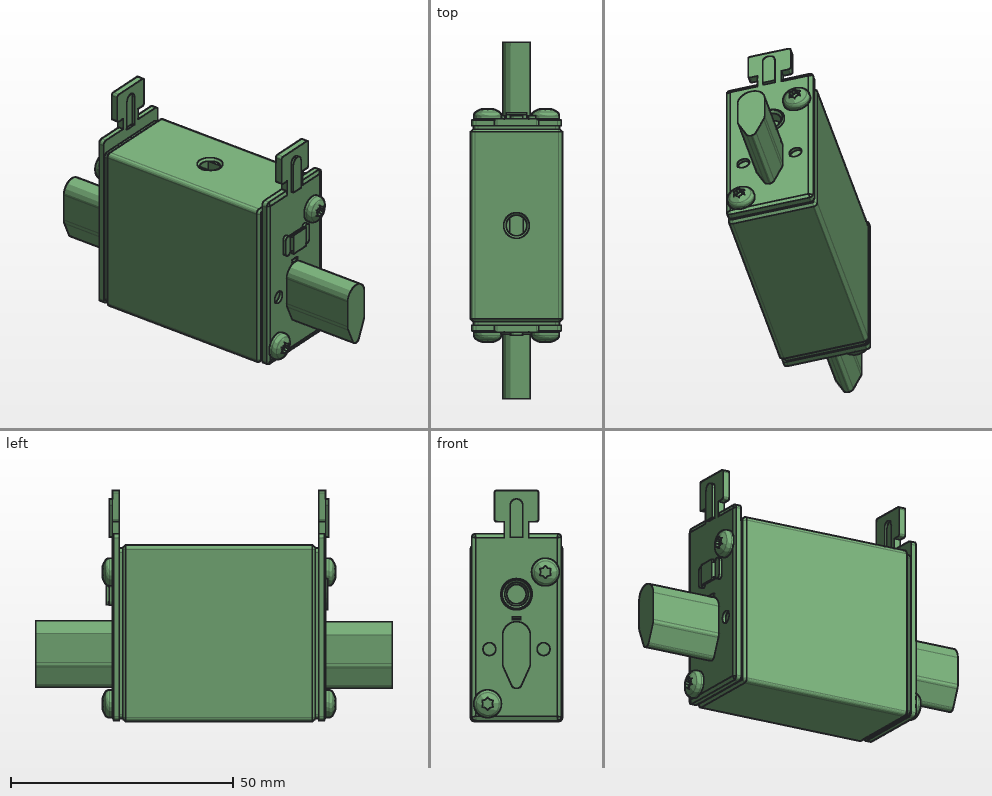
import cadquery as cq
import math


HOUSING_WIDTH = 20.7
HOUSING_HEIGHT = 39.75
HOUSING_LENGTH = 43.4
HOUSING_EDGE_RADIUS = 1.0
HOUSING_END_BEVEL = 0.65
COLLAR_INSET = 0.65
COLLAR_LENGTH = 0.7

SIGHT_RIM_RADIUS = 2.9
SIGHT_BORE_RADIUS = 2.3
SIGHT_FLAT_WIDTH = 3.1
SIGHT_DEPTH = 3.2

PLATE_WIDTH = 20.2
PLATE_BOTTOM = 0.25
PLATE_TOP = 42.3
PLATE_THICKNESS = 1.6
PLATE_CORNER_RADIUS = 1.0
PLATE_BEVEL_WIDTH = 1.0
PLATE_BEVEL_DEPTH = 0.3

TAB_WIDTH = 9.95
TAB_BOTTOM = 45.0
TAB_TOP = 52.0
TAB_CORNER = 0.6
NECK_WIDTH = 5.6
RIB_WIDTH = 2.8
RIB_BOTTOM = 41.5
RIB_TOP = 50.1
RIB_HEIGHT = 0.65

BLADE_WIDTH = 6.3
BLADE_BOTTOM = 7.5
BLADE_HEIGHT = 15.0
BLADE_SHOULDER = 12.6
BLADE_ARC_START = 19.6
BLADE_FOOT_WIDTH = 1.6
BLADE_SHOULDER_RADIUS = 2.4
BLADE_FOOT_RADIUS = 1.2
EDGE_MARGIN = 0.4
OVERALL_LENGTH = 80.3
FRONT_TIP_DISTANCE = 39.0
REAR_BLADE_RISE = 0.25
KEY_NOTCH_WIDTH = 1.9
KEY_NOTCH_TOP = 23.6
KEY_NOTCH_FLOOR = 22.9
KEY_NOTCH_BACK_HEIGHT = 0.25
KEY_NOTCH_DEPTH = 0.8

SIDE_HOLE_DIAMETER = 2.9
SIDE_HOLE_OFFSET = 6.1
SIDE_HOLE_Z = 16.3
SIDE_HOLE_DEPTH = 0.8

SCREW_OFFSET = 6.5
SCREW_UPPER_Z = 33.65
SCREW_LOWER_Z = 4.0
HEAD_RADIUS = 3.1
HEAD_RIM_HEIGHT = 0.65
HEAD_HEIGHT = 2.4
HEAD_SHOULDER_RADIUS = 2.6
HEAD_SHOULDER_HEIGHT = 1.6
SOCKET_OUTER_RADIUS = 1.45
SOCKET_INNER_RADIUS = 1.05
SOCKET_LOBES = 6
SOCKET_DEPTH = 1.2

EYELET_Z = 28.7
EYELET_RADIUS = 3.5
EYELET_HEIGHT = 0.5
EYELET_ROUNDING = 0.25
EYELET_MOUTH_RADIUS = 3.2
EYELET_BORE_RADIUS = 2.65
EYELET_FLOOR_RADIUS = 2.2
EYELET_DEPTH = 2.4

INDICATOR_WIDTH = 4.65
INDICATOR_STEM_HEIGHT = 3.5
INDICATOR_CAP_HEIGHT = 4.8
INDICATOR_REACH = 1.4
INDICATOR_CAP_THICKNESS = 0.5
PAD_WIDTH = 1.7
PAD_HEIGHT = 5.0
PAD_THICKNESS = 0.7
PAD_OFFSET = 3.5

PLATE_INNER = HOUSING_LENGTH / 2 + COLLAR_LENGTH
PLATE_OUTER = PLATE_INNER + PLATE_THICKNESS


def front_plane(distance):
    """Plane facing the front, at a distance ahead of the middle; its y is the height Z."""
    return cq.Workplane("XZ", origin=(0, -distance, 0))


def half_turn(shape):
    """Carry a shape from the front end to the rear end."""
    return shape.rotate((0, 0, 0), (0, 0, 1), 180)


def rounded_beam(width, bottom, top, length):
    """Bar along Y, centred in length, with its four long edges rounded."""
    return (
        front_plane(-length / 2)
        .center(0, (bottom + top) / 2)
        .rect(width, top - bottom)
        .extrude(length)
        .edges("|Y")
        .fillet(HOUSING_EDGE_RADIUS)
    )


def make_housing():
    core = rounded_beam(HOUSING_WIDTH, 0, HOUSING_HEIGHT, HOUSING_LENGTH)
    core = core.faces("<Y or >Y").chamfer(HOUSING_END_BEVEL)
    collar = rounded_beam(
        HOUSING_WIDTH - 2 * COLLAR_INSET, COLLAR_INSET, HOUSING_HEIGHT - COLLAR_INSET, 2 * PLATE_INNER
    )
    return core.union(collar).cut(sight_hole())


def sight_hole():
    """Countersunk hole whose lower part has two flats facing each other across X."""
    rim_depth = SIGHT_RIM_RADIUS - SIGHT_BORE_RADIUS
    top = cq.Workplane("XY", origin=(0, 0, HOUSING_HEIGHT))
    rim = top.circle(SIGHT_RIM_RADIUS).workplane(offset=-rim_depth).circle(SIGHT_BORE_RADIUS).loft()
    bore = top.circle(SIGHT_BORE_RADIUS).extrude(-SIGHT_DEPTH)
    flats = top.rect(SIGHT_FLAT_WIDTH, 2 * SIGHT_BORE_RADIUS).extrude(-SIGHT_DEPTH)
    return rim.union(bore.intersect(flats))


def upright_slot(distance, width, bottom, top, depth):
    """Bar with a round upper end and a square lower end, extruded forwards."""
    radius = width / 2
    return (
        front_plane(distance)
        .moveTo(-radius, bottom)
        .lineTo(radius, bottom)
        .lineTo(radius, top - radius)
        .threePointArc((0, top), (-radius, top - radius))
        .close()
        .extrude(depth)
    )


def make_plate():
    """Bevelled front end plate with its grip tab and embossed rib."""
    panel = (
        front_plane(PLATE_INNER)
        .center(0, (PLATE_BOTTOM + PLATE_TOP) / 2)
        .rect(PLATE_WIDTH, PLATE_TOP - PLATE_BOTTOM)
        .extrude(PLATE_THICKNESS)
        .edges("|Y")
        .fillet(PLATE_CORNER_RADIUS)
        .faces("<Y")
        .chamfer(PLATE_BEVEL_DEPTH, PLATE_BEVEL_WIDTH)
    )
    head = (
        front_plane(PLATE_INNER)
        .center(0, (TAB_BOTTOM + TAB_TOP) / 2)
        .rect(TAB_WIDTH, TAB_TOP - TAB_BOTTOM)
        .extrude(PLATE_THICKNESS)
        .edges("|Y")
        .fillet(TAB_CORNER)
    )
    neck_bottom = PLATE_TOP - PLATE_BEVEL_WIDTH
    neck = (
        front_plane(PLATE_INNER)
        .center(0, (neck_bottom + TAB_BOTTOM) / 2)
        .rect(NECK_WIDTH, TAB_BOTTOM - neck_bottom)
        .extrude(PLATE_THICKNESS)
    )
    rib = upright_slot(PLATE_OUTER, RIB_WIDTH, RIB_BOTTOM, RIB_TOP, RIB_HEIGHT)
    rib_hollow = upright_slot(PLATE_INNER, RIB_WIDTH, RIB_BOTTOM, RIB_TOP, RIB_HEIGHT)
    return panel.union(head).union(neck).union(rib).cut(rib_hollow).cut(side_holes()).cut(key_notch())


def side_holes():
    """Shallow blind holes in the plate face."""
    return (
        front_plane(PLATE_OUTER)
        .pushPoints([(side * SIDE_HOLE_OFFSET, SIDE_HOLE_Z) for side in (-1, 1)])
        .circle(SIDE_HOLE_DIAMETER / 2)
        .extrude(-SIDE_HOLE_DEPTH)
    )


def key_notch():
    """Small recess above the crown of the blade, with a flat floor and a sloping roof."""
    back = KEY_NOTCH_DEPTH - PLATE_OUTER
    return (
        cq.Workplane("YZ")
        .moveTo(-PLATE_OUTER, KEY_NOTCH_FLOOR)
        .lineTo(-PLATE_OUTER, KEY_NOTCH_TOP)
        .lineTo(back, KEY_NOTCH_FLOOR + KEY_NOTCH_BACK_HEIGHT)
        .lineTo(back, KEY_NOTCH_FLOOR)
        .close()
        .extrude(KEY_NOTCH_WIDTH / 2, both=True)
    )


def make_screw_head(x, z):
    """Domed head with a six-lobed socket, seated on the front plate."""
    crown_rise = HEAD_HEIGHT - HEAD_SHOULDER_HEIGHT
    crown_radius = (HEAD_SHOULDER_RADIUS**2 + crown_rise**2) / (2 * crown_rise)
    mid_radius = HEAD_SHOULDER_RADIUS / 2
    mid_height = HEAD_HEIGHT - crown_radius + math.sqrt(crown_radius**2 - mid_radius**2)
    profile = (
        cq.Workplane("XY")
        .lineTo(HEAD_RADIUS, 0)
        .lineTo(HEAD_RADIUS, -HEAD_RIM_HEIGHT)
        .tangentArcPoint((HEAD_SHOULDER_RADIUS, -HEAD_SHOULDER_HEIGHT), relative=False)
        .threePointArc((mid_radius, -mid_height), (0, -HEAD_HEIGHT))
        .close()
    )
    head = profile.revolve(360, (0, 0, 0), (0, 1, 0))
    star = []
    for index in range(2 * SOCKET_LOBES):
        radius = SOCKET_OUTER_RADIUS if index % 2 == 0 else SOCKET_INNER_RADIUS
        angle = math.pi / 2 + index * math.pi / SOCKET_LOBES
        star.append((radius * math.cos(angle), radius * math.sin(angle)))
    socket = front_plane(HEAD_HEIGHT).polyline(star).close().extrude(-SOCKET_DEPTH)
    return head.cut(socket).translate((x, -PLATE_OUTER, z))


def make_end_cap():
    """Front plate with its two diagonally placed screws."""
    upper_screw = make_screw_head(SCREW_OFFSET, SCREW_UPPER_Z)
    lower_screw = make_screw_head(-SCREW_OFFSET, SCREW_LOWER_Z)
    return make_plate().union(upper_screw).union(lower_screw)


def make_eyelet():
    return (
        front_plane(PLATE_OUTER)
        .center(0, EYELET_Z)
        .circle(EYELET_RADIUS)
        .extrude(EYELET_HEIGHT)
        .faces("<Y")
        .edges()
        .fillet(EYELET_ROUNDING)
    )


def eyelet_bore():
    """Blind tapered bore with a flared mouth, entering from the eyelet face."""
    flare = EYELET_MOUTH_RADIUS - EYELET_BORE_RADIUS
    face = front_plane(PLATE_OUTER + EYELET_HEIGHT).center(0, EYELET_Z)
    mouth = face.circle(EYELET_MOUTH_RADIUS).workplane(offset=-flare).circle(EYELET_BORE_RADIUS).loft()
    throat = front_plane(PLATE_OUTER + EYELET_HEIGHT - flare).center(0, EYELET_Z)
    taper = (
        throat.circle(EYELET_BORE_RADIUS)
        .workplane(offset=flare - EYELET_DEPTH)
        .circle(EYELET_FLOOR_RADIUS)
        .loft()
    )
    return mouth.union(taper)


def make_indicator():
    """Indicator with a wide cap between two pads, modelled at the front end."""
    face = front_plane(PLATE_OUTER).center(0, EYELET_Z)
    stem = face.rect(INDICATOR_WIDTH, INDICATOR_STEM_HEIGHT).extrude(INDICATOR_REACH)
    cap = (
        face.workplane(offset=INDICATOR_REACH - INDICATOR_CAP_THICKNESS)
        .rect(INDICATOR_WIDTH, INDICATOR_CAP_HEIGHT)
        .extrude(INDICATOR_CAP_THICKNESS)
    )
    pads = (
        face.pushPoints([(side * PAD_OFFSET, 0) for side in (-1, 1)])
        .slot2D(PAD_HEIGHT, PAD_WIDTH, 90)
        .extrude(PAD_THICKNESS)
    )
    return stem.union(cap).union(pads)


def blade_edges_at(height, tip_distance):
    """Selector for the two long blade edges centred at a given height."""
    return cq.selectors.ParallelDirSelector(cq.Vector(0, 1, 0)) & cq.selectors.BoxSelector(
        (-BLADE_WIDTH, -tip_distance, height - EDGE_MARGIN), (BLADE_WIDTH, 0, height + EDGE_MARGIN)
    )


def make_blade(tip_distance, rise):
    """Blade with a round crown and tapered foot, running from the collar face to its tip."""
    half_width = BLADE_WIDTH / 2
    half_foot = BLADE_FOOT_WIDTH / 2
    crown = BLADE_BOTTOM + BLADE_HEIGHT
    blade = (
        front_plane(PLATE_INNER)
        .moveTo(-half_foot, BLADE_BOTTOM)
        .lineTo(half_foot, BLADE_BOTTOM)
        .lineTo(half_width, BLADE_SHOULDER)
        .lineTo(half_width, BLADE_ARC_START)
        .threePointArc((0, crown), (-half_width, BLADE_ARC_START))
        .lineTo(-half_width, BLADE_SHOULDER)
        .close()
        .extrude(tip_distance - PLATE_INNER)
    )
    blade = blade.edges(blade_edges_at(BLADE_SHOULDER, tip_distance)).fillet(BLADE_SHOULDER_RADIUS)
    blade = blade.edges(blade_edges_at(BLADE_BOTTOM, tip_distance)).fillet(BLADE_FOOT_RADIUS)
    return blade.translate((0, 0, rise))


blades = []
for tip_distance, rise, at_rear in (
    (FRONT_TIP_DISTANCE, 0, False),
    (OVERALL_LENGTH - FRONT_TIP_DISTANCE, REAR_BLADE_RISE, True),
):
    blade = make_blade(tip_distance, rise)
    blades.append(half_turn(blade) if at_rear else blade)

end_cap = make_end_cap()
fuse_body = make_housing().union(end_cap).union(half_turn(end_cap))
fuse_body = fuse_body.union(make_eyelet()).cut(eyelet_bore()).union(half_turn(make_indicator()))
for blade in blades:
    fuse_body = fuse_body.cut(blade)

result = cq.Compound.makeCompound([fuse_body.val(), *[blade.val() for blade in blades]])